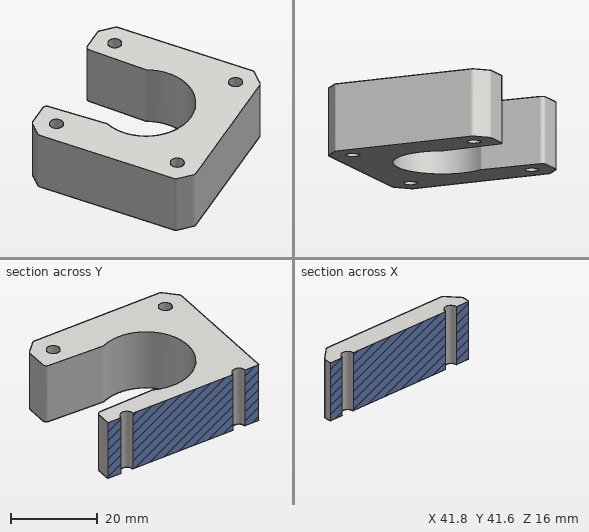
import cadquery as cq
import math

length = 41.8
width = 41.6
height = 16.0
left_x = -width / 2
right_x = left_x + length
edge_radius = 1.0

corner_cut = 3.18
right_corner_cut = corner_cut + right_x + left_x

hole_diameter = 3.2
hole_spacing = 31.0

bore_radius = 11.5
mouth_half_width = 10.9
throat_half_width = 10.35
throat_x = -math.sqrt(bore_radius**2 - throat_half_width**2)


def make_block():
    """Octagonal block with its upright corner edges rounded."""
    half_width = width / 2
    outline = [
        (left_x + corner_cut, -half_width),
        (right_x - right_corner_cut, -half_width),
        (right_x, -half_width + right_corner_cut),
        (right_x, half_width - right_corner_cut),
        (right_x - right_corner_cut, half_width),
        (left_x + corner_cut, half_width),
        (left_x, half_width - corner_cut),
        (left_x, -half_width + corner_cut),
    ]
    block = cq.Workplane("XY").polyline(outline).close().extrude(height)
    return block.edges("|Z").fillet(edge_radius)


def make_opening():
    """Bore and tapered slot as one keyhole-shaped cutter."""
    return (
        cq.Workplane("XY")
        .moveTo(left_x, -mouth_half_width)
        .lineTo(throat_x, -throat_half_width)
        .threePointArc((bore_radius, 0), (throat_x, throat_half_width))
        .lineTo(left_x, mouth_half_width)
        .close()
        .extrude(height)
    )


def round_slot_edges(body):
    """Round the upright edges at the slot mouth and where the slot meets the bore."""
    for x, half_width in ((left_x, mouth_half_width), (throat_x, throat_half_width)):
        for side in (-1, 1):
            edge_middle = (x, side * half_width, height / 2)
            nearest_edge = cq.selectors.NearestToPointSelector(edge_middle)
            body = body.edges("|Z").edges(nearest_edge).fillet(edge_radius)
    return body


def make_bolt_holes():
    """Four through-hole cutters on a square pattern around the bore."""
    return (
        cq.Workplane("XY")
        .rect(hole_spacing, hole_spacing, forConstruction=True)
        .vertices()
        .circle(hole_diameter / 2)
        .extrude(height)
    )


body = round_slot_edges(make_block().cut(make_opening()))
result = body.cut(make_bolt_holes())